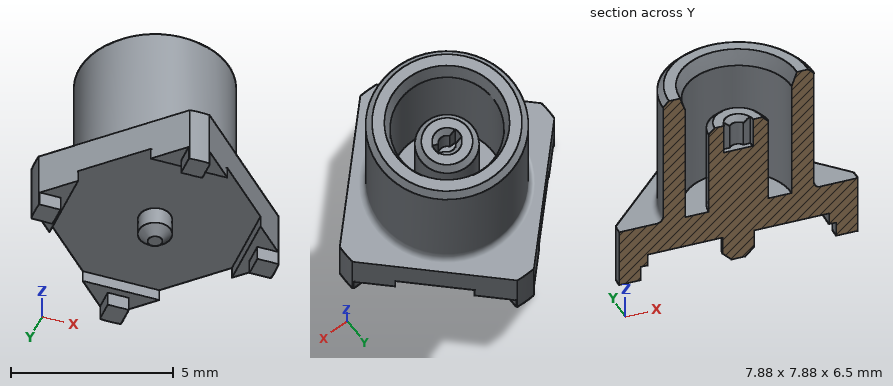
import cadquery as cq
import math

envelope_radius = 3.94
base_half_side = 3.0
base_top = 2.0
total_height = 6.5

pad_bottom = 0.5
recess_top = 0.9
recess_half_side = 2.99
leg_half_width = 0.35
leg_length = 0.72

barrel_radius = 2.5
edge_size = 0.2
bore_radius = 1.75
bore_mouth_radius = 1.92
bore_mouth_depth = 0.5

post_radius = 0.985
post_top = total_height - 1.4

socket_radius = 0.275
socket_mouth_radius = 0.46
socket_slot_half_length = 0.47
socket_slot_width = 0.315
socket_depth = 1.0

tail_radius = 0.53
tail_taper = 0.3


def cylinder(radius, bottom, top):
    return cq.Workplane("XY").workplane(offset=bottom).circle(radius).extrude(top - bottom)


def block(size_x, size_y, bottom, top):
    return cq.Workplane("XY").workplane(offset=bottom).rect(size_x, size_y).extrude(top - bottom)


def make_base():
    """Diamond base on four corner legs, with a recess that leaves triangular pads."""
    side = 2 * base_half_side
    base = block(side, side, 0, base_top).rotate((0, 0, 0), (0, 0, 1), 45)
    base = base.intersect(cylinder(envelope_radius, 0, base_top))

    span = 2 * envelope_radius
    legs = block(span, 2 * leg_half_width, 0, pad_bottom)
    legs = legs.union(block(2 * leg_half_width, span, 0, pad_bottom))
    inner_span = 2 * (envelope_radius - leg_length)
    legs = legs.cut(block(inner_span, inner_span, 0, pad_bottom))

    body = base.intersect(block(span, span, pad_bottom, base_top))
    recess_side = 2 * recess_half_side
    body = body.cut(block(recess_side, recess_side, pad_bottom, recess_top))
    return body.union(base.intersect(legs))


def make_barrel():
    """Hollow barrel with a chamfered rim, tapered mouth and concave foot fillet."""
    foot_radius = barrel_radius + edge_size
    fillet_top = base_top + edge_size
    fillet_offset = edge_size * (1 - math.sqrt(0.5))
    return (
        cq.Workplane("XZ")
        .moveTo(bore_radius, base_top)
        .lineTo(foot_radius, base_top)
        .threePointArc(
            (barrel_radius + fillet_offset, base_top + fillet_offset),
            (barrel_radius, fillet_top),
        )
        .lineTo(barrel_radius, total_height - edge_size)
        .lineTo(barrel_radius - edge_size, total_height)
        .lineTo(bore_mouth_radius, total_height)
        .lineTo(bore_radius, total_height - bore_mouth_depth)
        .close()
        .revolve(360, (0, 0, 0), (0, 1, 0))
    )


def make_post():
    """Chamfered post with a countersunk, cross-slotted contact socket."""
    socket_floor = post_top - socket_depth
    countersink = socket_mouth_radius - socket_radius
    post = cylinder(post_radius, base_top, post_top).faces(">Z").chamfer(edge_size)
    socket = (
        cq.Workplane("XZ")
        .moveTo(0, socket_floor)
        .lineTo(socket_radius, socket_floor)
        .lineTo(socket_radius, post_top - countersink)
        .lineTo(socket_mouth_radius, post_top)
        .lineTo(0, post_top)
        .close()
        .revolve(360, (0, 0, 0), (0, 1, 0))
    )
    slot = block(2 * socket_slot_half_length, socket_slot_width, socket_floor, post_top)
    slot = slot.intersect(cylinder(socket_slot_half_length, socket_floor, post_top))
    return post.cut(socket).cut(slot)


def make_tail():
    """Contact tail with a tapered tip, level with the ends of the legs."""
    return cylinder(tail_radius, 0, recess_top).faces("<Z").chamfer(tail_taper)


result = make_base().union(make_barrel()).union(make_post()).union(make_tail())